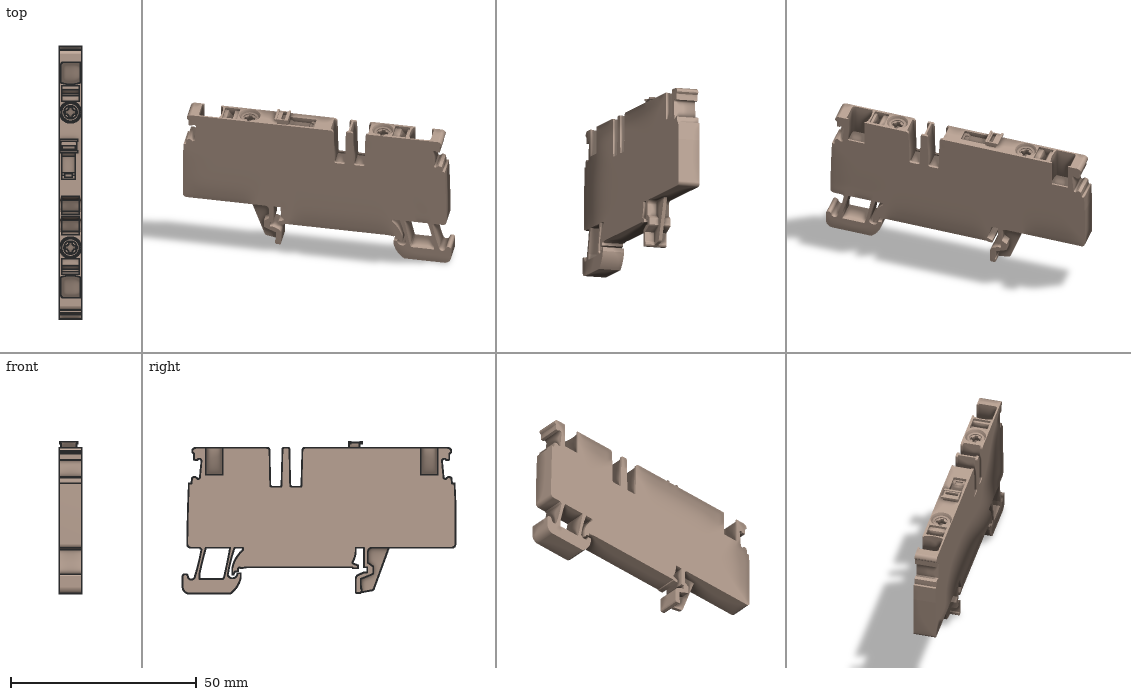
import cadquery as cq


WIDTH = 6.1
HALF_LENGTH = 36.7
TOTAL_HEIGHT = 40.9
DECK_Z = 39.3
BASE_Z = 12.3
CORNER_ROUND = 1.0
OVERLAP = 0.7
SEAT_Z = 7.05
MID_X = WIDTH / 2
MIRROR_Y = 0.7

SLOT_FLOOR_Z = 28.8
SLOT_CORNER = 0.45
RECESS_FLOOR_Z = 28.3
SLOT_RIM = 0.65
SLOT_EDGES = ((-4.5, -4.8, -7.7, -7.9), (-9.8, -10.1, -13.1, -13.3))
RECESS_EDGES = ((-3.7, -4.8, -7.7, -8.5), (-9.0, -10.1, -13.1, -13.95))
DECK_ROUND = 0.8
WALL_ROUND = 0.45

SCREW_Y = 18.9
SINK_RADIUS = 2.85
HEAD_RADIUS = 2.4
HEAD_DEPTH = 0.7
RIM_RADIUS = 1.75
RIM_DEPTH = 0.3
DRIVE_RADIUS = 1.0
DRIVE_REACH = 2.8
DRIVE_WIDTH = 0.95
DRIVE_DEPTH = 1.8

FUNNEL_OUTER_Y = 32.45
FUNNEL_INNER_Y = 26.85
FUNNEL_BULGE = 0.45
FUNNEL_WALL = 0.45
FUNNEL_DEPTH = 8.8
NOTCH_DEPTH = 7.35
FUNNEL_CORNER = 0.8
NOTCH_OUTER_Y = 31.9
NOTCH_INNER_Y = 27.3

GROOVE_NEAR_Y = 21.95
GROOVE_FAR_Y = 26.05
GROOVE_SIDE = 0.65
GROOVE_DEPTH = 0.7
VALLEY_WIDTH = 2.05
VALLEY_OFFSET = 1.4
VALLEY_DEPTH = 1.8
VALLEY_SLOPE = 0.6
VALLEY_SHOULDER = 0.45

KEY_OUTER_Y = 11.7
KEY_NECK_Y = 10.9
KEY_INNER_Y = 8.0
KEY_X = (0.45, 4.7)
KEY_LIP_X = (0.15, 5.0)
KEY_LIP_HEIGHT = 0.5
KEY_LIP_RISE = 0.2
KEY_LIP_LENGTH = 0.6
KEY_SLOT_Y = (8.95, 10.0)
KEY_SLOT_WALL = 0.4
KEY_SLOT_DEPTH = 1.0
POCKET_X = (0.65, 4.25)
POCKET_END_Y = 0.9
POCKET_DEPTH = 1.3
POCKET_RAMP = 0.95
STEP_LENGTH = 1.75
STEP_HEIGHT = 0.6
STEP_GAP_X = (1.55, 3.5)
STEP_GAP_FLOOR = 0.2
STEP_GAP_BACK = 0.5

WEB_SETBACK = 2.6


def box(x_range, y_range, z_range):
    """Box between two limits on each axis."""
    sizes = [limits[1] - limits[0] for limits in (x_range, y_range, z_range)]
    corner = (x_range[0], y_range[0], z_range[0])
    return cq.Workplane("XY").box(*sizes, centered=False).translate(corner)


def slab(sketch, x_start=0.0, x_end=WIDTH):
    """Extrude a closed Y-Z outline between two X positions."""
    return sketch.close().extrude(x_end - x_start).translate((x_start, 0, 0))


def prism(points, x_start=0.0, x_end=WIDTH):
    """Straight-sided Y-Z outline extruded between two X positions."""
    return slab(cq.Workplane("YZ").polyline(points), x_start, x_end)


def both_ends(shape):
    """The +Y feature together with its mirror image at the -Y end."""
    return shape, shape.mirror("XZ", (0, MIRROR_Y, 0))


def housing():
    """Main plate with the two bottom corners rounded."""
    low_y = -35.45
    end_y = 2 * MIRROR_Y - 36.5
    shoulder_z = 29.65
    plate = (
        cq.Workplane("YZ")
        .moveTo(36.5, DECK_Z)
        .lineTo(36.5, shoulder_z)
        .lineTo(HALF_LENGTH, 24.95)
        .lineTo(HALF_LENGTH, BASE_Z + CORNER_ROUND)
        .radiusArc((HALF_LENGTH - CORNER_ROUND, BASE_Z), CORNER_ROUND)
        .lineTo(low_y + CORNER_ROUND, BASE_Z)
        .radiusArc((low_y, BASE_Z + CORNER_ROUND), CORNER_ROUND)
        .threePointArc((-35.3, 21.65), (end_y, shoulder_z))
        .lineTo(end_y, DECK_Z)
    )
    return slab(plate)


def end_cutaway():
    """Material removed at the upper end, leaving the hooked lip and the stepped ledge."""
    clear_y = HALF_LENGTH + OVERLAP
    clear_z = DECK_Z + OVERLAP
    outline = (
        cq.Workplane("YZ")
        .moveTo(34.2, clear_z)
        .lineTo(34.2, DECK_Z)
        .threePointArc((35.2, 39.0), (35.6, 38.45))
        .lineTo(35.6, 38.1)
        .lineTo(35.1, 37.6)
        .lineTo(35.1, 35.95)
        .lineTo(34.2, 35.9)
        .threePointArc((33.6, 36.25), (33.1, 35.6))
        .lineTo(33.55, 31.05)
        .lineTo(34.0, 30.8)
        .lineTo(34.8, 31.5)
        .lineTo(35.6, 31.2)
        .lineTo(35.8, 29.65)
        .lineTo(clear_y, 29.65)
        .lineTo(clear_y, clear_z)
    )
    return slab(outline)


def slot_prism(edges, floor_z, x_start=0.0, x_end=WIDTH):
    """Tapered slot from the deck down to its floor."""
    top_high, bottom_high, bottom_low, top_low = edges
    points = [
        (top_high, DECK_Z),
        (bottom_high, floor_z),
        (bottom_low, floor_z),
        (top_low, DECK_Z),
    ]
    return prism(points, x_start, x_end)


def rail_seat():
    """Block under the housing that rests on the rail, with a hook at each end."""
    outline = (
        cq.Workplane("YZ")
        .moveTo(9.9, BASE_Z + OVERLAP)
        .lineTo(9.9, BASE_Z)
        .threePointArc((9.55, 9.55), (8.95, 8.3))
        .lineTo(9.5, 8.0)
        .lineTo(10.5, 7.6)
        .lineTo(10.5, 6.8)
        .lineTo(9.1, 6.8)
        .lineTo(8.95, SEAT_Z)
        .lineTo(-19.5, SEAT_Z)
        .lineTo(-21.0, 6.8)
        .lineTo(-21.4, SEAT_Z)
        .lineTo(-21.7, 6.8)
        .lineTo(-21.7, 6.1)
        .lineTo(-22.7, 5.9)
        .lineTo(-23.0, 5.1)
        .lineTo(-23.35, 5.1)
        .lineTo(-23.35, 7.0)
        .threePointArc((-22.3, 9.55), (-20.5, 11.75))
        .lineTo(-20.5, BASE_Z + OVERLAP)
    )
    return slab(outline)


def foot():
    """Release foot hung on two bent legs, with a hook at the rail side and a lip at the end."""
    outline = (
        cq.Workplane("YZ")
        .moveTo(-22.7, BASE_Z + OVERLAP)
        .lineTo(-22.7, BASE_Z)
        .threePointArc((-23.9, 8.1), (-24.5, 5.0))
        .threePointArc((-23.4, 4.2), (-21.95, 5.5))
        .lineTo(-21.0, 5.5)
        .lineTo(-21.0, 4.4)
        .threePointArc((-22.2, 1.7), (-23.85, 0.0))
        .lineTo(-35.0, 0.0)
        .threePointArc((-36.2, 0.6), (-HALF_LENGTH, 1.7))
        .lineTo(-HALF_LENGTH, 4.7)
        .threePointArc((-35.9, 5.3), (-35.2, 4.7))
        .threePointArc((-34.3, 3.8), (-33.5, 4.3))
        .threePointArc((-32.5, 7.7), (-31.6, 11.8))
        .lineTo(-32.1, BASE_Z)
        .lineTo(-32.1, BASE_Z + OVERLAP)
    )
    window = (
        cq.Workplane("YZ")
        .moveTo(-23.9, BASE_Z)
        .threePointArc((-24.65, 8.45), (-25.55, 4.4))
        .lineTo(-25.8, 3.95)
        .lineTo(-32.1, 3.95)
        .lineTo(-32.1, 5.5)
        .threePointArc((-31.35, 8.8), (-30.4, BASE_Z))
    )
    return slab(outline).cut(slab(window))


def rail_clip():
    """Bent spring strip across the full width, stiffened by a thin central web."""
    strip = (
        cq.Workplane("YZ")
        .moveTo(14.25, BASE_Z + OVERLAP)
        .lineTo(14.25, BASE_Z)
        .threePointArc((13.4, 11.95), (13.15, 11.1))
        .lineTo(13.15, 8.3)
        .lineTo(14.5, 7.35)
        .lineTo(14.5, 5.4)
        .lineTo(14.1, 5.15)
        .lineTo(11.2, 3.95)
        .lineTo(11.2, 1.5)
        .lineTo(11.45, 1.2)
        .lineTo(11.45, 0.5)
        .lineTo(11.1, 0.15)
        .lineTo(10.05, 0.15)
        .lineTo(9.8, 0.45)
        .lineTo(9.8, 3.95)
        .threePointArc((10.05, 4.6), (10.6, 5.1))
        .lineTo(12.0, 5.7)
        .lineTo(12.9, 5.7)
        .lineTo(12.9, SEAT_Z)
        .lineTo(12.0, SEAT_Z)
        .lineTo(12.0, BASE_Z + OVERLAP)
    )
    web = (
        cq.Workplane("YZ")
        .moveTo(18.8, BASE_Z + OVERLAP)
        .lineTo(18.8, BASE_Z)
        .lineTo(14.8, 1.5)
        .threePointArc((14.6, 1.1), (14.25, 0.9))
        .lineTo(11.45, 0.4)
        .lineTo(11.1, 4.1)
        .lineTo(14.1, 5.4)
        .lineTo(14.1, 7.6)
        .lineTo(12.85, 8.4)
        .lineTo(12.85, BASE_Z + OVERLAP)
    )
    return slab(strip).union(slab(web, WEB_SETBACK, WIDTH - WEB_SETBACK))


def screw_cut():
    """Countersunk screw head with a stepped rim and a cross drive."""
    head_z = DECK_Z - HEAD_DEPTH
    sink = (
        cq.Workplane("XY", origin=(MID_X, SCREW_Y, head_z))
        .circle(HEAD_RADIUS)
        .workplane(offset=HEAD_DEPTH)
        .circle(SINK_RADIUS)
        .loft()
    )
    rim_plane = cq.Workplane("XY", origin=(MID_X, SCREW_Y, head_z))
    rim = rim_plane.circle(RIM_RADIUS).extrude(-RIM_DEPTH)
    drive = rim_plane.circle(DRIVE_RADIUS).extrude(-DRIVE_DEPTH)
    for size in ((DRIVE_REACH, DRIVE_WIDTH), (DRIVE_WIDTH, DRIVE_REACH)):
        drive = drive.union(rim_plane.rect(*size).extrude(-DRIVE_DEPTH))
    return sink.union(rim).union(drive)


def funnel_cut():
    """Wire funnel with a bulged inner end, open through a notch in the +X wall."""
    funnel = (
        cq.Workplane("XY", origin=(0, 0, DECK_Z))
        .moveTo(FUNNEL_WALL, FUNNEL_INNER_Y)
        .lineTo(FUNNEL_WALL, FUNNEL_OUTER_Y - FUNNEL_CORNER)
        .radiusArc((FUNNEL_WALL + FUNNEL_CORNER, FUNNEL_OUTER_Y), FUNNEL_CORNER)
        .lineTo(WIDTH - FUNNEL_WALL, FUNNEL_OUTER_Y)
        .lineTo(WIDTH - FUNNEL_WALL, FUNNEL_INNER_Y)
        .threePointArc((MID_X, FUNNEL_INNER_Y - FUNNEL_BULGE), (FUNNEL_WALL, FUNNEL_INNER_Y))
        .close()
        .extrude(-FUNNEL_DEPTH)
    )
    notch = box((MID_X, WIDTH), (NOTCH_INNER_Y, NOTCH_OUTER_Y), (DECK_Z - NOTCH_DEPTH, DECK_Z))
    return funnel.union(notch)


def groove_recess_cut():
    floor_z = DECK_Z - GROOVE_DEPTH
    x_range = (GROOVE_SIDE, WIDTH - GROOVE_SIDE)
    return box(x_range, (GROOVE_NEAR_Y, GROOVE_FAR_Y), (floor_z, DECK_Z))


def valley_cut(low_y):
    """Valley across a grooved recess: a plain slope up to -Y and a rounded shoulder to +Y."""
    floor_z = DECK_Z - GROOVE_DEPTH
    end_y = low_y + VALLEY_WIDTH
    outline = (
        cq.Workplane("YZ")
        .moveTo(low_y, floor_z)
        .lineTo(low_y + VALLEY_SLOPE, floor_z - VALLEY_DEPTH)
        .lineTo(end_y - VALLEY_SHOULDER, floor_z - VALLEY_SHOULDER)
        .radiusArc((end_y, floor_z), VALLEY_SHOULDER)
    )
    return slab(outline, GROOVE_SIDE, WIDTH - GROOVE_SIDE)


def marker_key():
    """Raised key with a lip along both of its long edges and a slot between them."""
    top_z = TOTAL_HEIGHT - KEY_LIP_RISE
    lip_z = (TOTAL_HEIGHT - KEY_LIP_HEIGHT, TOTAL_HEIGHT)
    key = box(KEY_X, (KEY_INNER_Y, KEY_NECK_Y), (DECK_Z - POCKET_DEPTH, top_z))
    key = key.union(box(KEY_X, (KEY_NECK_Y, KEY_OUTER_Y), (lip_z[0], top_z)))
    for lip_y in (KEY_INNER_Y, KEY_OUTER_Y - KEY_LIP_LENGTH):
        key = key.union(box(KEY_LIP_X, (lip_y, lip_y + KEY_LIP_LENGTH), lip_z))
    slot_x = (KEY_X[0] + KEY_SLOT_WALL, KEY_X[1] - KEY_SLOT_WALL)
    return key.cut(box(slot_x, KEY_SLOT_Y, (top_z - KEY_SLOT_DEPTH, top_z)))


def marker_pocket():
    """Shallow pocket beside the key, ramped at the key and stepped at the far end."""
    floor_z = DECK_Z - POCKET_DEPTH
    step_y = POCKET_END_Y + STEP_LENGTH
    outline = [
        (KEY_INNER_Y, DECK_Z),
        (KEY_INNER_Y, floor_z + STEP_HEIGHT),
        (KEY_INNER_Y - POCKET_RAMP, floor_z),
        (step_y, floor_z),
        (step_y - STEP_HEIGHT, floor_z + STEP_HEIGHT),
        (POCKET_END_Y, floor_z + STEP_HEIGHT),
        (POCKET_END_Y, DECK_Z),
    ]
    gap_y = (POCKET_END_Y + STEP_GAP_BACK, step_y)
    gap = box(STEP_GAP_X, gap_y, (floor_z + STEP_GAP_FLOOR, DECK_Z))
    return prism(outline, *POCKET_X).union(gap)


def build():
    body = housing()
    for cut in both_ends(end_cutaway()):
        body = body.cut(cut)

    for edges in SLOT_EDGES:
        slot = slot_prism(edges, SLOT_FLOOR_Z)
        body = body.cut(slot.faces("<Z").edges("|X").fillet(SLOT_CORNER))
    first_slot, second_slot = SLOT_EDGES
    roundings = (
        (first_slot[0], DECK_ROUND),
        (first_slot[3], WALL_ROUND),
        (second_slot[0], WALL_ROUND),
        (second_slot[3], DECK_ROUND),
    )
    for edge_y, radius in roundings:
        edge = cq.selectors.NearestToPointSelector((MID_X, edge_y, DECK_Z))
        body = body.edges(edge).fillet(radius)
    for edges in RECESS_EDGES:
        body = body.cut(slot_prism(edges, RECESS_FLOOR_Z, SLOT_RIM, WIDTH - SLOT_RIM))

    for part in (rail_seat(), foot(), rail_clip()):
        body = body.union(part)

    for feature in (screw_cut(), funnel_cut(), groove_recess_cut()):
        for cut in both_ends(feature):
            body = body.cut(cut)
    valley_y = GROOVE_NEAR_Y + VALLEY_OFFSET
    mirrored_valley_y = 2 * MIRROR_Y - valley_y - VALLEY_WIDTH
    for low_y in (valley_y, mirrored_valley_y):
        body = body.cut(valley_cut(low_y))

    return body.cut(marker_pocket()).union(marker_key())


result = build()